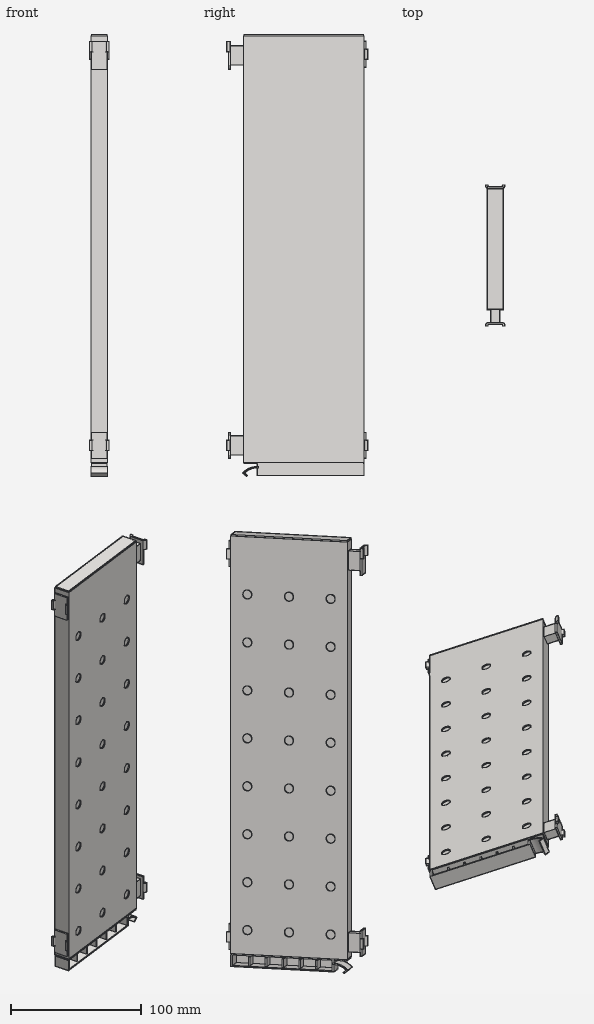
import cadquery as cq
import math


panel_thickness = 13.0
panel_width = 92.5
panel_height = 328.8
panel_top = 169.3
panel_front = -41.25
end_cap_height = 1.1
end_cap_inset = 0.4
panel_back = panel_front + panel_width
panel_middle = (panel_front + panel_back) / 2
panel_bottom = panel_top - panel_height

dimple_diameter = 7.0
dimple_depth = 1.0
dimple_columns = 3
dimple_rows = 8
dimple_column_pitch = 33.0
dimple_row_pitch = 37.5
dimple_grid_middle_z = -8.2

tray_length = 81.9
tray_height = 9.1
tray_thickness = panel_thickness - 2 * end_cap_inset
tray_floor = 1.0
tray_front = panel_back - tray_length
tray_bottom = panel_bottom - tray_height
cell_count = 6
cell_pitch = 13.3
divider_thickness = 1.3
divider_top_gap = 1.3
divider_setback = 1.5
tray_wall = 1.0
cavity_depth = tray_thickness - tray_wall

lip_radius = 15.0
lip_sheet = 1.1
lip_sweep = math.radians(48)
lip_hook_length = 4.1
lip_drop = 2.1
lip_top = panel_bottom - lip_drop

clip_plate_height = 20.0
clip_sheet = 1.5
clip_width = 15.0
clip_arm_height = 8.0
clip_arm_length = 2.9
clip_arm_sheet = 2.0
clip_bend_radius = 2.5
clip_inner_bend_radius = 0.8
clip_plate_width = 11.5
clip_neck_width = 7.0
clip_neck_height = 15.0
clip_neck_length = 9.9
upper_clip_z = 154.1
raised_clip_z = 153.2
lower_clip_z = -145.4
raised_plate_height = 21.4


def make_lip():
    """Sheet that leaves the tray level, curves down and ends in a hook square to the curve."""
    centre_y = tray_front
    centre_z = lip_top - lip_radius
    inner_radius = lip_radius - lip_sheet

    def polar(radius, angle):
        """Point at a radius from the centre of the curve, at an angle from +Z toward -Y."""
        return centre_y - radius * math.sin(angle), centre_z + radius * math.cos(angle)

    hook_end = polar(lip_radius - lip_hook_length, lip_sweep)
    hook_inner_end = (
        hook_end[0] + lip_sheet * math.cos(lip_sweep),
        hook_end[1] + lip_sheet * math.sin(lip_sweep),
    )
    hook_inner_root = polar(inner_radius, lip_sweep - math.asin(lip_sheet / inner_radius))
    profile = (
        cq.Workplane("YZ")
        .moveTo(tray_front + lip_sheet, lip_top)
        .lineTo(tray_front, lip_top)
        .threePointArc(polar(lip_radius, lip_sweep / 2), polar(lip_radius, lip_sweep))
        .lineTo(*hook_end)
        .lineTo(*hook_inner_end)
        .lineTo(*hook_inner_root)
        .threePointArc(polar(inner_radius, lip_sweep / 2), polar(inner_radius, 0))
        .lineTo(tray_front + lip_sheet, lip_top - lip_sheet)
        .close()
    )
    return profile.extrude(panel_thickness / 2, both=True)


def make_tray():
    tray_middle = (tray_front + panel_back) / 2
    tray = cq.Workplane("XY").box(
        tray_thickness, tray_length, tray_height, centered=(True, True, False)
    ).translate((0, tray_middle, tray_bottom))
    cavity_height = tray_height - tray_floor
    cavity_length = cell_count * cell_pitch - divider_thickness
    cavity = cq.Workplane("XY").box(
        cavity_depth, cavity_length, cavity_height, centered=(False, True, False)
    ).translate((-tray_thickness / 2, tray_middle, tray_bottom + tray_floor))
    tray = tray.cut(cavity)
    divider_depth = cavity_depth - divider_setback
    divider_height = cavity_height - divider_top_gap
    for i in range(1, cell_count):
        y = tray_middle + (i - cell_count / 2) * cell_pitch
        divider = cq.Workplane("XY").box(
            divider_depth, divider_thickness, divider_height, centered=(False, True, False)
        ).translate((divider_setback - tray_thickness / 2, y, tray_bottom + tray_floor))
        tray = tray.union(divider)
    return tray


def make_panel():
    core = cq.Workplane("XY").box(
        panel_thickness - 2 * end_cap_inset, panel_width - 2 * end_cap_inset, panel_height
    )
    body = cq.Workplane("XY").box(panel_thickness, panel_width, panel_height - 2 * end_cap_height)
    panel = core.union(body).translate((0, panel_middle, (panel_top + panel_bottom) / 2))
    dimples = (
        cq.Workplane("YZ", origin=(-panel_thickness / 2, panel_middle, dimple_grid_middle_z))
        .rarray(dimple_column_pitch, dimple_row_pitch, dimple_columns, dimple_rows)
        .circle(dimple_diameter / 2)
        .extrude(dimple_depth)
    )
    return panel.cut(dimples).union(make_tray()).union(make_lip())


def make_clip(plate_height, arm_offset, neck_length):
    """Clip whose mounting face is at Y = 0 and whose two arms point toward +Y."""
    clip = cq.Workplane("XY").box(
        clip_plate_width, clip_sheet, plate_height, centered=(True, False, True)
    ).translate((0, neck_length, 0))
    arm_gap = clip_width - 2 * clip_arm_sheet
    space_between_arms = (
        cq.Workplane("XY")
        .box(arm_gap, clip_arm_length, clip_arm_height, centered=(True, False, True))
        .edges("|Z and <Y")
        .fillet(clip_inner_bend_radius)
        .translate((0, clip_sheet, 0))
    )
    arms = (
        cq.Workplane("XY")
        .box(clip_width, clip_arm_length, clip_arm_height, centered=(True, False, True))
        .edges("|Z and <Y")
        .fillet(clip_bend_radius)
        .cut(space_between_arms)
        .translate((0, neck_length, arm_offset))
    )
    clip = clip.union(arms)
    if neck_length > 0:
        neck = cq.Workplane("XY").box(
            clip_neck_width, neck_length, clip_neck_height, centered=(True, False, True)
        )
        clip = clip.union(neck)
    return clip


panel = make_panel()

flat_clips = [
    make_clip(clip_plate_height, 0, 0).translate((0, panel_back, z))
    for z in (upper_clip_z, lower_clip_z)
]

raised_arm_offset = (raised_plate_height - clip_arm_height) / 2
necked_clips = [
    make_clip(height, offset, clip_neck_length)
    .rotate((0, 0, 0), (0, 0, 1), 180)
    .translate((0, panel_front, z))
    for height, offset, z in (
        (raised_plate_height, raised_arm_offset, raised_clip_z),
        (clip_plate_height, 0, lower_clip_z),
    )
]

result = cq.Compound.makeCompound(
    [panel.val()] + [clip.val() for clip in flat_clips + necked_clips]
)